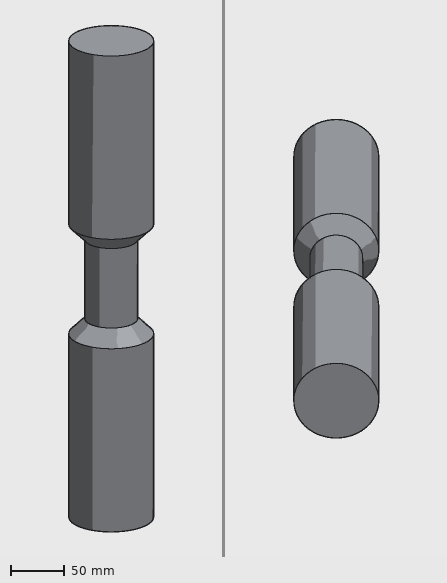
import cadquery as cq

total_length = 480.0
bar_diameter = 80.0
neck_diameter = 50.0
neck_length = 80.0

bar_length = (total_length - neck_length) / 2
taper = (bar_diameter - neck_diameter) / 2


def make_neck():
    """Plain cylinder that joins the two bars."""
    return (
        cq.Workplane("XY")
        .workplane(offset=-neck_length / 2)
        .circle(neck_diameter / 2)
        .extrude(neck_length)
    )


def make_bar(side):
    """Round bar with a conical inner end, above (side = 1) or below (side = -1) the neck."""
    inner_face = "<Z" if side > 0 else ">Z"
    return (
        cq.Workplane("XY")
        .workplane(offset=side * neck_length / 2)
        .circle(bar_diameter / 2)
        .extrude(side * bar_length)
        .faces(inner_face)
        .chamfer(taper)
    )


neck = make_neck()
bars = [make_bar(side).val() for side in (1, -1)]

result = cq.Compound.makeCompound([neck.val(), *bars])